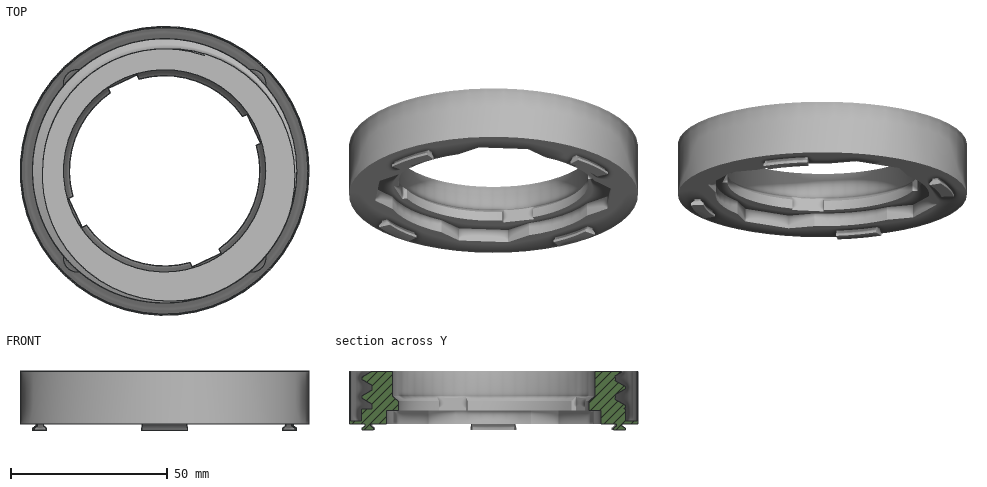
import cadquery as cq
import math

TOTAL_HEIGHT = 19.0
FOOT_HEIGHT = 2.0
FLOOR_THICKNESS = 1.0
FLOOR_TOP = FOOT_HEIGHT + FLOOR_THICKNESS

OUTER_RADIUS = 92.5 / 2
WALL_INNER_RADIUS = 91.7 / 2

THREAD_RADIUS = 84.6 / 2
THREAD_PITCH = 6.0
FLANK_SLOPE = math.tan(math.radians(30))
CREST_WIDTH = THREAD_PITCH / 8
ROOT_WIDTH = THREAD_PITCH / 4
THREAD_DEPTH = (THREAD_PITCH - CREST_WIDTH - ROOT_WIDTH) / 2 / FLANK_SLOPE
ROOT_RADIUS = THREAD_RADIUS - THREAD_DEPTH
TOP_CREST_ANGLE = -45
GROOVE_OVERCUT = 0.3
GROOVE_EXTRA_TURNS = 1

BORE_RADIUS = 64.75 / 2
LIP_RADIUS = 30.4
LIP_BOTTOM = 6.3
LIP_TOP = 9.3
LIP_CONE_TOP = 11.0
LOWER_BORE_RADIUS = 34.2

NOTCH_ANGLE = 25.2
NOTCH_WIDTH = 10.2
NOTCH_WALL_DISTANCE = 31.5

POCKET_MOUTH_WIDTH = 28.1
POCKET_BACK_WIDTH = 15.7
POCKET_BACK_DISTANCE = 37.3

BOSS_RADIUS = 4.6
BOSS_DISTANCE = 39.3
BOSS_TOP = 6.9

FOOT_SWEEP = 20
FOOT_INNER_RADIUS = 38.4
FOOT_OUTER_RADIUS = THREAD_RADIUS
FOOT_NECK_INNER_RADIUS = 39.3
FOOT_NECK_OUTER_RADIUS = 41.3
FOOT_RIM_HEIGHT = 0.7
FOOT_NECK_START = 1.5

QUARTER_TURNS = [0, 90, 180, 270]


def disc(radius, bottom, top):
    return cq.Workplane("XY").workplane(offset=bottom).circle(radius).extrude(top - bottom)


def turn(shape, angle):
    return shape.rotate((0, 0, 0), (0, 0, 1), angle)


def tray():
    """Base disc with the thin wall around it."""
    cavity = disc(WALL_INNER_RADIUS, FLOOR_TOP, TOTAL_HEIGHT)
    return disc(OUTER_RADIUS, FOOT_HEIGHT, TOTAL_HEIGHT).cut(cavity)


def thread_groove():
    """Helical groove that starts below the floor and runs out above the top face."""
    turns = math.ceil((TOTAL_HEIGHT - FLOOR_TOP) / THREAD_PITCH) + GROOVE_EXTRA_TURNS
    start = TOTAL_HEIGHT - (turns - 0.5) * THREAD_PITCH
    outer = THREAD_RADIUS + GROOVE_OVERCUT
    half_root = ROOT_WIDTH / 2
    half_mouth = half_root + (outer - ROOT_RADIUS) * FLANK_SLOPE
    path = cq.Workplane("XY").add(cq.Wire.makeHelix(THREAD_PITCH, turns * THREAD_PITCH, ROOT_RADIUS))
    groove = (
        cq.Workplane("XZ")
        .polyline([
            (ROOT_RADIUS, -half_root),
            (outer, -half_mouth),
            (outer, half_mouth),
            (ROOT_RADIUS, half_root),
        ])
        .close()
        .sweep(path, isFrenet=True)
    )
    return turn(groove.translate((0, 0, start)), TOP_CREST_ANGLE)


def boss():
    return disc(BOSS_RADIUS, FOOT_HEIGHT, BOSS_TOP).translate((BOSS_DISTANCE, 0, 0))


def all_bosses():
    bosses = cq.Workplane("XY")
    for angle in QUARTER_TURNS:
        bosses = bosses.add(turn(boss(), angle + 45))
    return bosses.combine()


def bore():
    """Stepped opening: wide below the lip, a cone above it, then the main bore."""
    return (
        cq.Workplane("XZ")
        .polyline([
            (0, FOOT_HEIGHT),
            (LOWER_BORE_RADIUS, FOOT_HEIGHT),
            (LOWER_BORE_RADIUS, LIP_BOTTOM),
            (LIP_RADIUS, LIP_BOTTOM),
            (LIP_RADIUS, LIP_TOP),
            (BORE_RADIUS, LIP_CONE_TOP),
            (BORE_RADIUS, TOTAL_HEIGHT),
            (0, TOTAL_HEIGHT),
        ])
        .close()
        .revolve(360, (0, 0, 0), (0, 1, 0))
    )


def notch():
    return (
        cq.Workplane("XY")
        .workplane(offset=LIP_BOTTOM)
        .center(NOTCH_WALL_DISTANCE / 2, 0)
        .rect(NOTCH_WALL_DISTANCE, NOTCH_WIDTH)
        .extrude(LIP_CONE_TOP - LIP_BOTTOM)
    )


def pocket():
    """Tapered recess whose mouth corners lie on the lower bore."""
    half_mouth = POCKET_MOUTH_WIDTH / 2
    half_back = POCKET_BACK_WIDTH / 2
    mouth_distance = math.sqrt(LOWER_BORE_RADIUS**2 - half_mouth**2)
    return (
        cq.Workplane("XY")
        .workplane(offset=FOOT_HEIGHT)
        .polyline([
            (mouth_distance, -half_mouth),
            (POCKET_BACK_DISTANCE, -half_back),
            (POCKET_BACK_DISTANCE, half_back),
            (mouth_distance, half_mouth),
        ])
        .close()
        .extrude(LIP_BOTTOM - FOOT_HEIGHT)
    )


def foot():
    """Arc-shaped foot with a wide sole and a narrower neck, centred on +X."""
    profile = (
        cq.Workplane("XZ")
        .polyline([
            (FOOT_INNER_RADIUS, 0),
            (FOOT_OUTER_RADIUS, 0),
            (FOOT_OUTER_RADIUS, FOOT_RIM_HEIGHT),
            (FOOT_NECK_OUTER_RADIUS, FOOT_NECK_START),
            (FOOT_NECK_OUTER_RADIUS, FLOOR_TOP),
            (FOOT_NECK_INNER_RADIUS, FLOOR_TOP),
            (FOOT_NECK_INNER_RADIUS, FOOT_NECK_START),
            (FOOT_INNER_RADIUS, FOOT_RIM_HEIGHT),
        ])
        .close()
    )
    return turn(profile.revolve(FOOT_SWEEP, (0, 0, 0), (0, 1, 0)), -FOOT_SWEEP / 2)


thread_zone = disc(OUTER_RADIUS, BOSS_TOP, TOTAL_HEIGHT)
sleeve = disc(THREAD_RADIUS, FLOOR_TOP, TOTAL_HEIGHT).cut(thread_groove().intersect(thread_zone))

result = tray().union(sleeve).union(all_bosses()).cut(bore())
for angle in QUARTER_TURNS:
    result = result.cut(turn(pocket(), angle + 45))
    result = result.cut(turn(notch(), angle + NOTCH_ANGLE))
    result = result.union(turn(foot(), angle))